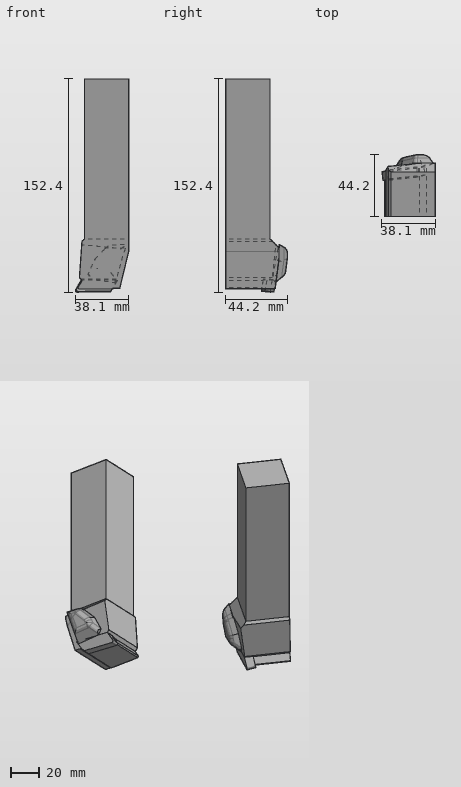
import cadquery as cq
import math

TOTAL_LENGTH = 152.4
SHANK_SIZE = 31.7
HEAD_DEPTH = 38.1
HEAD_TOP_Z = 38.1
HEAD_STEP = 1.8
HEAD_LEFT_TOP_X = -SHANK_SIZE - HEAD_STEP
HEAD_LEFT_LOW = (-35.4, 10.5)
SEAT_NOTCH = (-33.4, 8.2)
SEAT_NOSE_TOP = (-36.3, 3.4)
SEAT_NOSE_LOW = (-35.7, 2.3)
FLOOR_STEP_X = -11.1
FLOOR_Z = 2.7
FLOOR_RIGHT_X = -6.4
RELIEF_TOP_Z = 29.3

RAKE = math.tan(math.radians(6.0))
RAKE_POINT = (HEAD_LEFT_LOW[0], 33.2, HEAD_LEFT_LOW[1])

INSERT_TIP_X = -38.1
INSERT_ANGLE = 60.0
INSERT_LENGTH = 25.9
INSERT_END_RISE = 0.3
INSERT_WIDTH = 9.0
INSERT_THICKNESS = 6.4
NOSE_RADIUS = 1.2

CLAMP_TOP_Y = 44.2
CLAMP_ROOT = 2.3
CLAMP_HEIGHT = 6.9
CLAMP_TAPER = 22.0
CORNER_ROUNDING = 4.5
RIDGE_ROUNDING = 3.2
RIM_ROUNDING = 4.5
CLAMP_CENTRE = (-15.2, 18.3)
CLAMP_CORNER = (-14.6, 34.9)
CLAMP_OUTLINE = [CLAMP_CORNER, (-25.0, 24.1), (-30.0, 13.0), (-24.4, 4.5), (-9.1, 4.5), (-0.5, 34.9)]
NOSE_SLOPE_POINT = (-7.6, 42.7, 12.2)
NOSE_SLOPE_NORMAL = (0.2, -0.8, 1.0)
NOSE_RIDGE_POINT = (-26.7, 38.1, 13.0)
SLANTED_TOP_POINT = (-21.3, 41.9, 21.3)

CUTTER_SIZE = 457.2


def rake_y(x, z):
    """Y of the tilted plane at a given X and Z."""
    return RAKE_POINT[1] + RAKE * (x - RAKE_POINT[0]) + RAKE * (z - RAKE_POINT[2])


def rake_plane(x, z, lift=0.0):
    """Workplane on the tilted plane: local x runs along X, local y along Z, normal into the head."""
    return cq.Plane(
        origin=(x, rake_y(x, z) + lift, z),
        xDir=(1, RAKE, 0),
        normal=(RAKE, -1, RAKE),
    )


def cutter(plane, depth):
    """Large block on a plane, reaching to the given depth along its normal."""
    return cq.Workplane(plane).rect(CUTTER_SIZE, CUTTER_SIZE).extrude(depth)


def nearest(x, y, z):
    """Selector for the face or edge whose centre is nearest to a point."""
    return cq.selectors.NearestToPointSelector((x, y, z))


def make_holder_body():
    outline = [
        (0, TOTAL_LENGTH),
        (-SHANK_SIZE, TOTAL_LENGTH),
        (-SHANK_SIZE, HEAD_TOP_Z),
        (HEAD_LEFT_TOP_X, HEAD_TOP_Z - HEAD_STEP),
        HEAD_LEFT_LOW,
        SEAT_NOTCH,
        SEAT_NOSE_TOP,
        SEAT_NOSE_LOW,
        (FLOOR_STEP_X, SEAT_NOSE_LOW[1]),
        (FLOOR_STEP_X, FLOOR_Z),
        (FLOOR_RIGHT_X, FLOOR_Z),
        (0, RELIEF_TOP_Z),
    ]
    block = cq.Workplane("XZ").polyline(outline).close().extrude(-HEAD_DEPTH)

    slope = HEAD_DEPTH - SHANK_SIZE
    profile = [
        (0, 0),
        (HEAD_DEPTH, 0),
        (HEAD_DEPTH, HEAD_TOP_Z - slope),
        (SHANK_SIZE, HEAD_TOP_Z),
        (SHANK_SIZE, TOTAL_LENGTH),
        (0, TOTAL_LENGTH),
    ]
    envelope = cq.Workplane("YZ").polyline(profile).close().extrude(-2 * SHANK_SIZE)
    return block.intersect(envelope).cut(cutter(rake_plane(*HEAD_LEFT_LOW), -CUTTER_SIZE))


def make_clamp_block():
    """Tapered block with its nose sloped off, its corners rounded and its highest part flat."""
    points = [(x - CLAMP_CENTRE[0], z - CLAMP_CENTRE[1]) for x, z in CLAMP_OUTLINE]
    block = (
        cq.Workplane(rake_plane(*CLAMP_CENTRE, -CLAMP_ROOT))
        .polyline(points).close()
        .extrude(-(CLAMP_ROOT + CLAMP_HEIGHT), taper=CLAMP_TAPER)
    )
    corner_mid = nearest(CLAMP_CORNER[0], CLAMP_TOP_Y - CLAMP_HEIGHT / 2, CLAMP_CORNER[1])
    block = block.edges(corner_mid).fillet(CORNER_ROUNDING)

    slope = cq.Plane(origin=NOSE_SLOPE_POINT, xDir=(1, 0, -NOSE_SLOPE_NORMAL[0]), normal=NOSE_SLOPE_NORMAL)
    block = block.cut(cutter(slope, -CUTTER_SIZE))
    block = block.edges(nearest(*NOSE_RIDGE_POINT)).fillet(RIDGE_ROUNDING)

    top = cq.Plane(origin=(0, CLAMP_TOP_Y, 0), xDir=(1, 0, 0), normal=(0, 1, 0))
    return block.cut(cutter(top, CUTTER_SIZE))


def round_clamp_rim(block):
    """Round the edges around the flat and slanted top faces, but not the edge they share."""
    flat_edges = block.faces(">Y").edges().vals()
    slanted_edges = block.faces(nearest(*SLANTED_TOP_POINT)).edges().vals()
    rim = [edge for edge in flat_edges if not any(edge.isSame(other) for other in slanted_edges)]
    rim += [edge for edge in slanted_edges if not any(edge.isSame(other) for other in flat_edges)]
    return block.newObject(rim).fillet(RIM_ROUNDING)


def make_clamp():
    """Finished clamp, cut free where its upper end hangs over the sloped shoulder of the head."""
    shoulder_z = HEAD_TOP_Z - (HEAD_DEPTH - SHANK_SIZE)
    overhang = (
        cq.Workplane("XY", origin=(0, 0, shoulder_z))
        .rect(CUTTER_SIZE, 2 * HEAD_DEPTH)
        .extrude(CUTTER_SIZE)
    )
    return round_clamp_rim(make_clamp_block()).cut(overhang)


def make_insert():
    angle = math.radians(INSERT_ANGLE)
    corner_x = INSERT_TIP_X - NOSE_RADIUS * (1 / math.tan(angle / 2) - 1)
    lean = INSERT_WIDTH / math.tan(angle)
    outline = [
        (0, 0),
        (INSERT_LENGTH, INSERT_END_RISE),
        (INSERT_LENGTH + lean, INSERT_WIDTH),
        (lean, INSERT_WIDTH),
    ]
    corner_z = -NOSE_RADIUS / math.tan(angle / 2) * INSERT_END_RISE / INSERT_LENGTH
    plate = cq.Workplane(rake_plane(corner_x, corner_z)).polyline(outline).close().extrude(INSERT_THICKNESS)
    nose = nearest(corner_x, rake_y(corner_x, corner_z) - INSERT_THICKNESS / 2, corner_z)
    return plate.edges(nose).fillet(NOSE_RADIUS)


insert = make_insert()
holder = make_holder_body().union(make_clamp()).cut(insert)

result = cq.Compound.makeCompound([holder.val(), insert.val()])